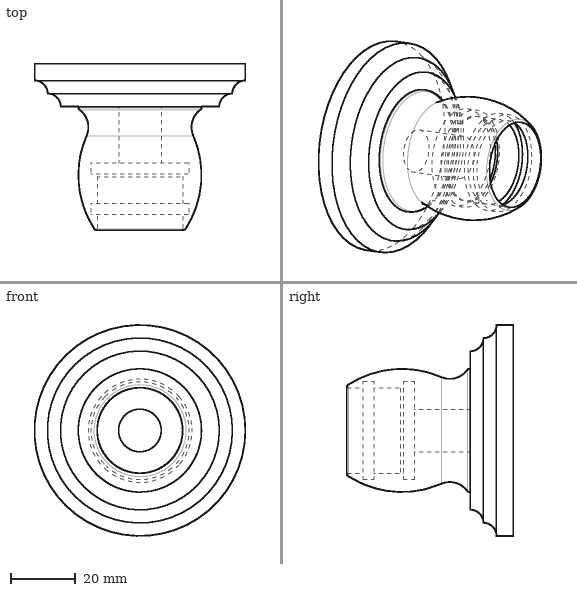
import cadquery as cq
import math

plate_radius = 32.5
plate_thickness = 5.2
cove_radius = 4.0
cove_count = 2

overall_depth = 51.3
collar_radius = 19.0
collar_straight = 0.3
collar_depth = 1.0
collar_end_radius = 18.6
neck_depth = 19.6
neck_radius = 15.9
neck_cove_radius = 6.5
bulb_radius = 19.0
bulb_arc_radius = 30.55
rim_round_depth = 0.5

socket_radius = 13.2
groove_radius = 15.1
groove_width = 3.45
groove_front_depth = 46.35
seat_radius = 13.15
seat_front_depth = 34.8
seat_width = 0.85
blind_hole_radius = 6.55

face_depth = plate_thickness + cove_count * cove_radius
collar_end_depth = face_depth + collar_depth
rim_start_depth = overall_depth - rim_round_depth
groove_back_depth = groove_front_depth - groove_width
seat_back_depth = seat_front_depth - seat_width
socket_floor_depth = seat_back_depth - groove_width

neck_center_radius = neck_radius + neck_cove_radius
bulb_center_radius = bulb_radius - bulb_arc_radius
center_gap = neck_cove_radius + bulb_arc_radius
center_rise = neck_center_radius - bulb_center_radius
bulb_depth = neck_depth + math.sqrt(center_gap**2 - center_rise**2)
tangent_share = neck_cove_radius / center_gap
tangent_radius = neck_center_radius - tangent_share * center_rise
tangent_depth = neck_depth + tangent_share * (bulb_depth - neck_depth)

rim_outer_radius = bulb_center_radius + math.sqrt(
    bulb_arc_radius**2 - (rim_start_depth - bulb_depth) ** 2
)


def add_cove(profile, outer_radius, start_depth):
    """Add a concave quarter circle that steps inward and forward by the cove radius."""
    inset = cove_radius * (1 - math.sqrt(0.5))
    inner_radius = outer_radius - cove_radius
    middle = (inner_radius + inset, -start_depth - inset)
    end = (inner_radius, -start_depth - cove_radius)
    return profile.threePointArc(middle, end)


def make_body():
    """Revolve the outer profile; the knob points toward -Y."""
    profile = cq.Workplane("XY").lineTo(plate_radius, 0).lineTo(plate_radius, -plate_thickness)
    for step in range(cove_count):
        inset = step * cove_radius
        profile = add_cove(profile, plate_radius - inset, plate_thickness + inset)

    profile = (
        profile.lineTo(collar_radius, -face_depth)
        .lineTo(collar_radius, -face_depth - collar_straight)
        .tangentArcPoint((collar_end_radius, -collar_end_depth), relative=False)
    )

    profile = (
        profile.threePointArc((neck_radius, -neck_depth), (tangent_radius, -tangent_depth))
        .threePointArc((bulb_radius, -bulb_depth), (rim_outer_radius, -rim_start_depth))
        .tangentArcPoint((socket_radius, -overall_depth), relative=False)
        .lineTo(0, -overall_depth)
    )
    return profile.close().revolve(360, (0, 0, 0), (0, 1, 0))


def disc(radius, back_depth, front_depth):
    """Cylinder on the knob axis between two depths."""
    plane = cq.Workplane("XZ").workplane(offset=back_depth)
    return plane.circle(radius).extrude(front_depth - back_depth)


socket = disc(socket_radius, seat_front_depth, overall_depth)
groove = disc(groove_radius, groove_back_depth, groove_front_depth)
seat = disc(seat_radius, seat_back_depth, seat_front_depth)
undercut = disc(groove_radius, socket_floor_depth, seat_back_depth)
blind_hole = disc(blind_hole_radius, face_depth, socket_floor_depth)

result = make_body()
for cavity in (socket, groove, seat, undercut, blind_hole):
    result = result.cut(cavity)